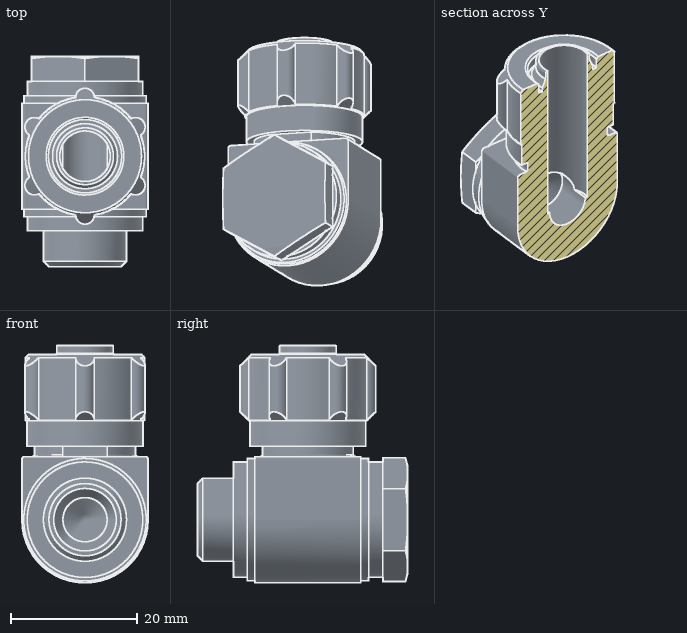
import cadquery as cq
import math


body_width = 20.0
body_length = 16.8
body_edge_radius = 0.5

washer_diameter = 19.4
washer_thickness = 1.2
collar_diameter = 18.3
front_collar_thickness = 2.2
rear_collar_thickness = 2.25
hex_sides = 6
hex_across_flats = 17.0
hex_height = 3.95
hex_chamfer_angle = 15.0
thread_diameter = 13.16
thread_length = 5.7
thread_chamfer = 0.87

bolt_bore_diameter = 7.0
bolt_bore_end_y = 5.0
countersink_diameter = 9.9
countersink_angle = 60.0
drill_point_angle = 118.0

neck_diameter = 16.0
neck_across_flats = 14.4
neck_height = 1.6
neck_fillet = 0.3

ring_diameter = 18.4
ring_height = 4.05
knob_diameter = 18.9
knob_height = 10.5
knob_top_chamfer = 0.5
knob_bottom_chamfer = 0.12
lobe_count = 6
lobe_radius = 1.5
lobe_center_radius = 9.25
nut_opening_diameter = 11.6
nut_opening_depth = 2.0
nut_opening_chamfer = 0.35

nipple_diameter = 9.0
nipple_root_diameter = 10.3
nipple_bore_diameter = 8.0
nipple_protrusion = 1.45
nipple_straight_length = 1.3
nipple_cone_length = 1.4
nipple_edge_radius = 0.25

body_half_width = body_width / 2
body_half_length = body_length / 2
body_top_z = body_half_width
ring_bottom_z = body_top_z + neck_height
knob_bottom_z = ring_bottom_z + ring_height
knob_top_z = knob_bottom_z + knob_height
nut_floor_z = knob_top_z - nut_opening_depth
nipple_top_z = knob_top_z + nipple_protrusion
washer_end_y = body_half_length + washer_thickness
rear_collar_end_y = washer_end_y + rear_collar_thickness
hex_end_y = rear_collar_end_y + hex_height
front_collar_end_y = -(washer_end_y + front_collar_thickness)
thread_end_y = front_collar_end_y - thread_length


def cylinder_y(diameter, y_start, y_end):
    """Cylinder about the Y axis between two Y positions."""
    plane = cq.Workplane("XZ", origin=(0, y_start, 0))
    return plane.circle(diameter / 2).extrude(y_start - y_end)


def cylinder_z(diameter, z_start, z_end):
    """Cylinder about the Z axis between two Z levels."""
    plane = cq.Workplane("XY", origin=(0, 0, z_start))
    return plane.circle(diameter / 2).extrude(z_end - z_start)


def revolve_y(profile):
    """Revolve a closed (radius, y) profile about the Y axis."""
    return cq.Workplane("XY").polyline(profile).close().revolve(360, (0, 0, 0), (0, 1, 0))


def revolve_z(profile):
    """Revolve a closed (radius, z) profile about the Z axis."""
    return cq.Workplane("XZ").polyline(profile).close().revolve(360, (0, 0, 0), (0, 1, 0))


def make_body():
    outline = (
        cq.Workplane("XZ", origin=(0, body_half_length, 0))
        .moveTo(-body_half_width, 0)
        .lineTo(-body_half_width, body_top_z)
        .lineTo(body_half_width, body_top_z)
        .lineTo(body_half_width, 0)
        .threePointArc((0, -body_half_width), (-body_half_width, 0))
        .close()
    )
    body = outline.extrude(body_length)
    return body.faces(">Z").edges("|Y").fillet(body_edge_radius)


def add_neck(body):
    """Round neck with flats facing +Y and -Y, filleted into the body top."""
    neck = cylinder_z(neck_diameter, body_top_z, ring_bottom_z)
    flats = cq.Workplane("XY", origin=(0, 0, body_top_z))
    flats = flats.rect(neck_diameter, neck_across_flats).extrude(neck_height)
    joined = body.union(neck.intersect(flats))
    margin = neck_fillet / 2
    half_box = neck_diameter / 2 + margin
    root_edges = cq.selectors.BoxSelector(
        (-half_box, -half_box, body_top_z - margin),
        (half_box, half_box, body_top_z + margin),
        boundingbox=True,
    )
    return joined.edges(root_edges).fillet(neck_fillet)


def make_hex_head():
    """Hexagon with corners up and down, chamfered by a cone that starts at the flats."""
    corner_radius = hex_across_flats / 2 / math.cos(math.pi / hex_sides)
    flat_radius = hex_across_flats / 2
    chamfer_depth = (corner_radius - flat_radius) * math.tan(math.radians(hex_chamfer_angle))
    corner_up_turn = 180 / hex_sides
    head = (
        cq.Workplane("XZ", origin=(0, rear_collar_end_y, 0))
        .polygon(hex_sides, 2 * corner_radius)
        .extrude(-hex_height)
        .rotate((0, 0, 0), (0, 1, 0), corner_up_turn)
    )
    envelope = revolve_y([
        (0, rear_collar_end_y),
        (corner_radius, rear_collar_end_y),
        (corner_radius, hex_end_y - chamfer_depth),
        (flat_radius, hex_end_y),
        (0, hex_end_y),
    ])
    return head.intersect(envelope)


def make_bolt():
    washers = cylinder_y(washer_diameter, -washer_end_y, washer_end_y)
    collars = cylinder_y(collar_diameter, front_collar_end_y, rear_collar_end_y)
    thread = cylinder_y(thread_diameter, thread_end_y, front_collar_end_y)
    thread = thread.faces("<Y").chamfer(thread_chamfer)
    return washers.union(collars).union(thread).union(make_hex_head())


def make_bolt_bore():
    """Countersunk blind bore with a drill point."""
    bore_radius = bolt_bore_diameter / 2
    sink_radius = countersink_diameter / 2
    sink_depth = (sink_radius - bore_radius) / math.tan(math.radians(countersink_angle / 2))
    point_depth = bore_radius / math.tan(math.radians(drill_point_angle / 2))
    return revolve_y([
        (0, thread_end_y),
        (sink_radius, thread_end_y),
        (bore_radius, thread_end_y + sink_depth),
        (bore_radius, bolt_bore_end_y),
        (0, bolt_bore_end_y + point_depth),
    ])


def make_knob():
    """Knob with six round lobes, its ends bevelled by 45 degree cones."""
    knob_radius = knob_diameter / 2
    lobe_tip_radius = lobe_center_radius + lobe_radius
    top_radius = knob_radius - knob_top_chamfer
    bottom_radius = knob_radius - knob_bottom_chamfer
    knob = cylinder_z(knob_diameter, knob_bottom_z, knob_top_z)
    lobes = (
        cq.Workplane("XY", origin=(0, 0, knob_bottom_z))
        .polarArray(lobe_center_radius, 90, 360, lobe_count)
        .circle(lobe_radius)
        .extrude(knob_height)
    )
    envelope = revolve_z([
        (0, knob_bottom_z),
        (bottom_radius, knob_bottom_z),
        (lobe_tip_radius, knob_bottom_z + lobe_tip_radius - bottom_radius),
        (lobe_tip_radius, knob_top_z - (lobe_tip_radius - top_radius)),
        (top_radius, knob_top_z),
        (0, knob_top_z),
    ])
    return knob.union(lobes).intersect(envelope)


def make_nut():
    ring = cylinder_z(ring_diameter, ring_bottom_z, knob_bottom_z)
    opening = cylinder_z(nut_opening_diameter, nut_floor_z, knob_top_z)
    nut = make_knob().cut(opening)
    opening_rim = nut.faces(">Z").edges("%CIRCLE").edges(cq.selectors.RadiusNthSelector(0))
    return opening_rim.chamfer(nut_opening_chamfer).union(ring)


def make_nipple():
    tip_radius = nipple_diameter / 2
    root_radius = nipple_root_diameter / 2
    cone_top_z = nipple_top_z - nipple_straight_length
    nipple = revolve_z([
        (0, nut_floor_z),
        (root_radius, nut_floor_z),
        (root_radius, cone_top_z - nipple_cone_length),
        (tip_radius, cone_top_z),
        (tip_radius, nipple_top_z),
        (0, nipple_top_z),
    ])
    return nipple.faces(">Z").edges().fillet(nipple_edge_radius)


result = add_neck(make_body())
result = result.union(make_bolt()).union(make_nut()).union(make_nipple())
result = result.cut(cylinder_z(nipple_bore_diameter, 0, nipple_top_z))
result = result.cut(make_bolt_bore())